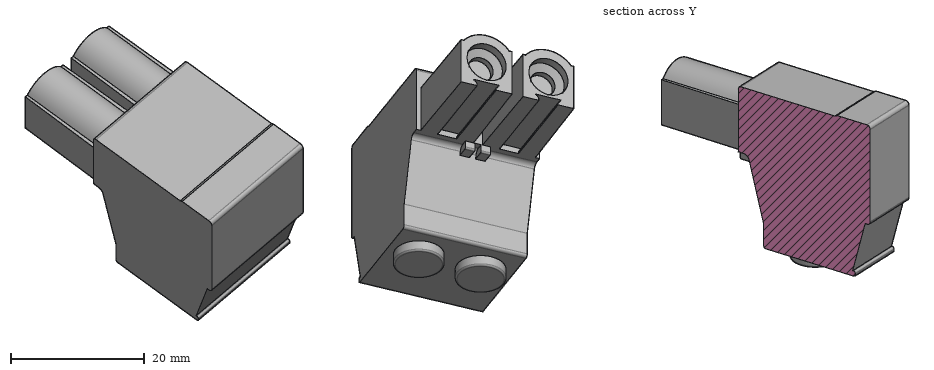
import cadquery as cq
import math


length = 38.9
width = 20.15
height = 26.05
front_x = 14.7
step_x = 32.85
step_height = 0.2
step_run = 0.4
lip_z = 14.8
foot_front_x = 19.3
foot_front_z = 4.15
foot_rear_x = 36.18
toe_top_z = 0.95
slope_angle = math.radians(15)
rear_lip_z = 9.37
rear_lip_depth = 0.95
roof_radius = 0.55
rear_radius = 0.62
foot_radius = 0.5
toe_radius = 0.35
lip_radius = 0.97

pole_pitch = 10.1
pole_positions = (-pole_pitch / 2, pole_pitch / 2)

nozzle_top_radius = 4.75
nozzle_axis_z = 19.37
shoulder_z = 22.33
tip_half_width = 4.15
root_half_width = 4.3
socket_radius = 3.2
socket_depth = 1.4
cone_depth = 0.7
bore_radius = 2.0
bore_depth = 3.1

groove_mouth_half = 1.55
groove_top_half = 2.05
groove_neck_height = 0.35
groove_height = 0.97

tab_inner_y = 0.5
tab_width = 1.55
tab_height = 1.32
tab_radius = 0.27

collar_x = 25.3
collar_radius = 3.8
collar_height = 1.75
collar_edge = 0.27


def slope_run(rise):
    """Horizontal run of the inclined foot walls over a given rise."""
    return rise * math.tan(slope_angle)


def make_housing():
    lip_inner_x = foot_front_x - slope_run(lip_z - foot_front_z)
    rear_lip_x = length - rear_lip_depth
    heel_x = rear_lip_x - slope_run(rear_lip_z - toe_top_z)
    outline = [
        (front_x, lip_z),
        (front_x, height - step_height),
        (step_x - step_run, height - step_height),
        (step_x, height),
        (length, height),
        (length, rear_lip_z),
        (rear_lip_x, rear_lip_z),
        (heel_x, toe_top_z),
        (foot_rear_x, toe_top_z),
        (foot_rear_x, 0),
        (foot_front_x, 0),
        (foot_front_x, foot_front_z),
        (lip_inner_x, lip_z),
    ]
    rounded_corners = [
        (front_x, height - step_height, roof_radius),
        (length, height, rear_radius),
        (length, rear_lip_z, rear_radius),
        (foot_rear_x, toe_top_z, toe_radius),
        (foot_rear_x, 0, toe_radius),
        (foot_front_x, 0, foot_radius),
        (lip_inner_x, lip_z, lip_radius),
    ]
    housing = cq.Workplane("XZ").polyline(outline).close().extrude(width / 2, both=True)
    for x, z, radius in rounded_corners:
        corner = cq.selectors.NearestToPointSelector((x, 0, z))
        housing = housing.edges("|Y").edges(corner).fillet(radius)
    return housing


def nozzle_section(x, half_width):
    """Closed wire of the nozzle outline at a given X: flat sides, shoulders and an arched top."""
    arc_half_width = math.sqrt(nozzle_top_radius**2 - (shoulder_z - nozzle_axis_z) ** 2)
    return (
        cq.Workplane("YZ", origin=(x, 0, 0))
        .moveTo(-half_width, lip_z)
        .lineTo(-half_width, shoulder_z)
        .lineTo(-arc_half_width, shoulder_z)
        .threePointArc((0, nozzle_axis_z + nozzle_top_radius), (arc_half_width, shoulder_z))
        .lineTo(half_width, shoulder_z)
        .lineTo(half_width, lip_z)
        .close()
        .val()
    )


def make_nozzle():
    sections = [nozzle_section(0, tip_half_width), nozzle_section(front_x, root_half_width)]
    return cq.Workplane(cq.Solid.makeLoft(sections, True))


def make_bore():
    """Socket, shallow cone and narrower bore, turned about the nozzle axis."""
    cone_end_x = socket_depth + cone_depth
    return (
        cq.Workplane("XY")
        .polyline([
            (0, 0),
            (0, socket_radius),
            (socket_depth, socket_radius),
            (cone_end_x, bore_radius),
            (bore_depth, bore_radius),
            (bore_depth, 0),
        ])
        .close()
        .revolve(360, (0, 0), (1, 0))
        .translate((0, 0, nozzle_axis_z))
    )


def make_groove():
    neck_z = lip_z + groove_neck_height
    top_z = lip_z + groove_height
    return (
        cq.Workplane("YZ")
        .polyline([
            (-groove_mouth_half, lip_z),
            (-groove_mouth_half, neck_z),
            (-groove_top_half, top_z),
            (groove_top_half, top_z),
            (groove_mouth_half, neck_z),
            (groove_mouth_half, lip_z),
        ])
        .close()
        .extrude(front_x)
    )


def make_tab():
    """Tab hanging from the overhang, running back into the inclined front wall."""
    tab_bottom_z = lip_z - tab_height
    wall_bottom_x = foot_front_x - slope_run(tab_bottom_z - foot_front_z)
    tab = (
        cq.Workplane("XY")
        .box(wall_bottom_x - front_x, tab_width, tab_height, centered=False)
        .edges("|Y and <X and <Z")
        .fillet(tab_radius)
    )
    return tab.translate((front_x, 0, tab_bottom_z))


def make_collar():
    return (
        cq.Workplane("XY")
        .circle(collar_radius)
        .extrude(-collar_height)
        .faces("<Z")
        .edges()
        .fillet(collar_edge)
        .translate((collar_x, 0, 0))
    )


result = make_housing()

nozzle = make_nozzle().cut(make_groove()).cut(make_bore())
collar = make_collar()
for y in pole_positions:
    result = result.union(nozzle.translate((0, y, 0)))
    result = result.union(collar.translate((0, y, 0)))

tab = make_tab()
for y in (tab_inner_y, -tab_inner_y - tab_width):
    result = result.union(tab.translate((0, y, 0)))